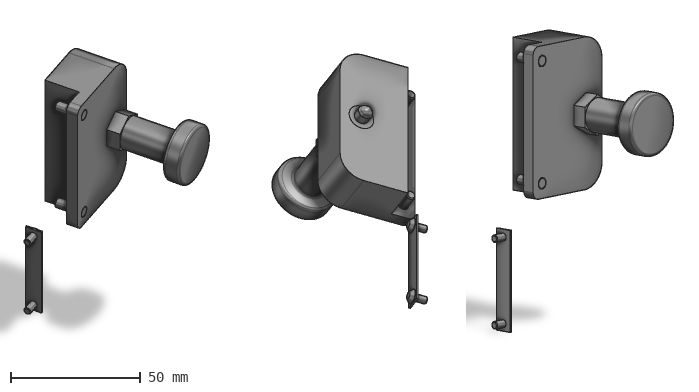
import cadquery as cq
import math


OVERALL_LENGTH = 63.3
OVERALL_HEIGHT = 116.0

HOUSING_THICKNESS = 20.0
HOUSING_HEIGHT = 60.0
HOUSING_TOP_Y = 9.0
BLOCK_BOTTOM_Y = -20.0
FLANGE_BOTTOM_Y = -30.0
FLANGE_THICKNESS = 5.0
BLOCK_CORNER_RADIUS = 10.0
FLANGE_CORNER_RADIUS = 3.0

PIN_DIAMETER = 4.0
PIN_PROTRUSION = 7.1
PIN_HOLE_DIAMETER = 4.4
PIN_CHAMFER = 0.5
PIN_Y = -24.9
PIN_SPACING = 48.0

SLEEVE_DIAMETER = 10.4
HEX_ACROSS_FLATS = 14.0
HEX_LENGTH = 5.9
NECK_DIAMETER = 13.7
KNOB_DIAMETER = 24.9
KNOB_RIM_WIDTH = 7.2
KNOB_CONE_LENGTH = 1.2
KNOB_FRONT_RADIUS = 1.5
KNOB_BACK_RADIUS = 1.0
NECK_FILLET_RADIUS = 1.0
BOLT_DIAMETER = 6.0
BOLT_PROTRUSION = 6.1
BOLT_TIP_RADIUS = 2.8
BOLT_TAPER_ANGLE = 30.0

PLATE_WIDTH = 7.1
PLATE_HEIGHT = 40.0
PLATE_THICKNESS = 0.8
PLATE_LEFT_X = -8.5
PLATE_FRONT_Y = -20.2
RIVET_END_MARGIN = 3.0
RIVET_DIAMETER = 3.0
RIVET_PROTRUSION = 5.1
RIVET_CHAMFER = 0.3
HEAD_DIAMETER = 6.0
HEAD_TOP_DIAMETER = 3.0
HEAD_HEIGHT = 1.7
HEAD_RIM_HEIGHT = 0.2
HEAD_BULGE = 0.06

HOUSING_TOP_Z = HOUSING_HEIGHT / 2
PLATE_BOTTOM_Z = HOUSING_TOP_Z - OVERALL_HEIGHT
FLANGE_FRONT_X = HOUSING_THICKNESS - FLANGE_THICKNESS
PIN_HEIGHTS = (-PIN_SPACING / 2, PIN_SPACING / 2)
PLATE_BACK_Y = PLATE_FRONT_Y + PLATE_THICKNESS
KNOB_BACK_X = PLATE_LEFT_X + OVERALL_LENGTH
RIVET_X = PLATE_LEFT_X + PLATE_WIDTH / 2
RIVET_HEIGHTS = (
    PLATE_BOTTOM_Z + RIVET_END_MARGIN,
    PLATE_BOTTOM_Z + PLATE_HEIGHT - RIVET_END_MARGIN,
)


def rod_along_x(diameter, start_x, end_x, y=0.0, z=0.0):
    """Solid cylinder along X."""
    return (
        cq.Workplane("YZ", origin=(start_x, y, z))
        .circle(diameter / 2)
        .extrude(end_x - start_x)
    )


def make_housing():
    """L-shaped block with rounded corners and through holes for the sleeve and, with clearance, the pins."""
    housing = (
        cq.Workplane("XY", origin=(0, 0, -HOUSING_TOP_Z))
        .moveTo(0, HOUSING_TOP_Y)
        .lineTo(HOUSING_THICKNESS, HOUSING_TOP_Y)
        .lineTo(HOUSING_THICKNESS, FLANGE_BOTTOM_Y)
        .lineTo(FLANGE_FRONT_X, FLANGE_BOTTOM_Y)
        .lineTo(FLANGE_FRONT_X, BLOCK_BOTTOM_Y)
        .lineTo(0, BLOCK_BOTTOM_Y)
        .close()
        .extrude(HOUSING_HEIGHT)
    )
    housing = housing.faces(">Y").edges("|X").fillet(BLOCK_CORNER_RADIUS)
    housing = housing.faces("<Y").edges("|X").fillet(FLANGE_CORNER_RADIUS)
    housing = housing.cut(rod_along_x(SLEEVE_DIAMETER, 0, HOUSING_THICKNESS))
    for z in PIN_HEIGHTS:
        housing = housing.cut(rod_along_x(PIN_HOLE_DIAMETER, FLANGE_FRONT_X, HOUSING_THICKNESS, PIN_Y, z))
    return housing


def make_pin(z):
    """Pin through the flange, flush with its back and chamfered at its free end."""
    pin = rod_along_x(PIN_DIAMETER, FLANGE_FRONT_X - PIN_PROTRUSION, HOUSING_THICKNESS, PIN_Y, z)
    return pin.faces("<X").chamfer(PIN_CHAMFER)


def make_bolt():
    """Protruding bolt: a spherical tip running tangent into a taper, then a cylinder."""
    tip_x = -BOLT_PROTRUSION
    tip_center_x = tip_x + BOLT_TIP_RADIUS
    taper = math.radians(BOLT_TAPER_ANGLE)
    middle_angle = (math.pi / 2 - taper) / 2
    arc_middle = (
        tip_center_x - BOLT_TIP_RADIUS * math.cos(middle_angle),
        BOLT_TIP_RADIUS * math.sin(middle_angle),
    )
    arc_end = (
        tip_center_x - BOLT_TIP_RADIUS * math.sin(taper),
        BOLT_TIP_RADIUS * math.cos(taper),
    )
    bolt_radius = BOLT_DIAMETER / 2
    taper_end_x = arc_end[0] + (bolt_radius - arc_end[1]) / math.tan(taper)
    return (
        cq.Workplane("XY")
        .moveTo(tip_x, 0)
        .threePointArc(arc_middle, arc_end)
        .lineTo(taper_end_x, bolt_radius)
        .lineTo(0, bolt_radius)
        .lineTo(0, 0)
        .close()
        .revolve(360, (0, 0, 0), (1, 0, 0))
    )


def make_knob():
    """Neck and knob, joined by a shallow cone with rounded edges."""
    rim_x = KNOB_BACK_X - KNOB_RIM_WIDTH
    cone_x = rim_x - KNOB_CONE_LENGTH
    neck_radius = NECK_DIAMETER / 2
    knob_radius = KNOB_DIAMETER / 2
    neck_start_x = HOUSING_THICKNESS + HEX_LENGTH
    knob = (
        cq.Workplane("XY")
        .moveTo(neck_start_x, 0)
        .lineTo(neck_start_x, neck_radius)
        .lineTo(cone_x, neck_radius)
        .lineTo(rim_x, knob_radius)
        .lineTo(KNOB_BACK_X, knob_radius)
        .lineTo(KNOB_BACK_X, 0)
        .close()
        .revolve(360, (0, 0, 0), (1, 0, 0))
    )
    knob = knob.edges(cq.selectors.RadiusNthSelector(-1)).edges("<X").fillet(KNOB_FRONT_RADIUS)
    knob = knob.faces(">X").edges().fillet(KNOB_BACK_RADIUS)
    neck_corner = cq.selectors.BoxSelector(
        (cone_x - KNOB_CONE_LENGTH / 2, -knob_radius, -knob_radius),
        (cone_x + KNOB_CONE_LENGTH / 2, knob_radius, knob_radius),
    )
    return knob.edges(neck_corner).fillet(NECK_FILLET_RADIUS)


def make_plunger():
    """One-piece plunger: bolt, sleeve in the housing, hexagon, neck and knob."""
    across_corners = HEX_ACROSS_FLATS / math.cos(math.pi / 6)
    hexagon = (
        cq.Workplane("YZ", origin=(HOUSING_THICKNESS, 0, 0))
        .transformed(rotate=(0, 0, 90))
        .polygon(6, across_corners)
        .extrude(HEX_LENGTH)
    )
    sleeve = rod_along_x(SLEEVE_DIAMETER, 0, HOUSING_THICKNESS)
    return make_bolt().union(sleeve).union(hexagon).union(make_knob())


def make_plate():
    """Thin rectangular plate with a hole for each rivet."""
    plate = cq.Workplane("XY").box(PLATE_WIDTH, PLATE_THICKNESS, PLATE_HEIGHT, centered=False)
    plate = plate.translate((PLATE_LEFT_X, PLATE_FRONT_Y, PLATE_BOTTOM_Z))
    for z in RIVET_HEIGHTS:
        hole = (
            cq.Workplane("XZ", origin=(RIVET_X, PLATE_BACK_Y, z))
            .circle(RIVET_DIAMETER / 2)
            .extrude(PLATE_THICKNESS)
        )
        plate = plate.cut(hole)
    return plate


def make_rivet(z):
    """Rivet along Y: domed flat-topped head with a thin rim on the plate, chamfered shank through it."""
    shank_radius = RIVET_DIAMETER / 2
    head_radius = HEAD_DIAMETER / 2
    head_top_radius = HEAD_TOP_DIAMETER / 2
    shank_end = -PLATE_THICKNESS - RIVET_PROTRUSION
    dome_middle = (
        (head_radius + head_top_radius) / 2 + HEAD_BULGE,
        (HEAD_RIM_HEIGHT + HEAD_HEIGHT) / 2 + HEAD_BULGE,
    )
    return (
        cq.Workplane("XY")
        .moveTo(0, shank_end)
        .lineTo(shank_radius - RIVET_CHAMFER, shank_end)
        .lineTo(shank_radius, shank_end + RIVET_CHAMFER)
        .lineTo(shank_radius, 0)
        .lineTo(head_radius, 0)
        .lineTo(head_radius, HEAD_RIM_HEIGHT)
        .threePointArc(dome_middle, (head_top_radius, HEAD_HEIGHT))
        .lineTo(0, HEAD_HEIGHT)
        .close()
        .revolve(360, (0, 0, 0), (0, 1, 0))
        .translate((RIVET_X, PLATE_BACK_Y, z))
    )


housing = make_housing()
plunger = make_plunger()
pins = [make_pin(z) for z in PIN_HEIGHTS]
plate = make_plate()
rivets = [make_rivet(z) for z in RIVET_HEIGHTS]

result = cq.Compound.makeCompound([
    housing.val(),
    plunger.val(),
    *[pin.val() for pin in pins],
    plate.val(),
    *[rivet.val() for rivet in rivets],
])